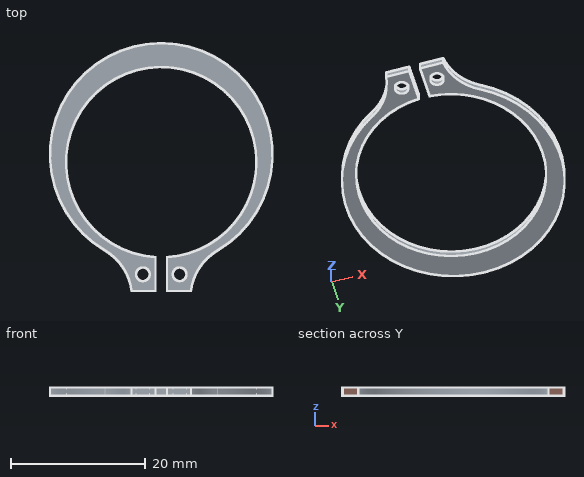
import cadquery as cq
import math

length = 36.93
thickness = 1.3
outer_radius = 33.15 / 2
bore_radius = 28.3 / 2
bore_offset = 1.15
gap = 1.65
lug_span = 8.85
flare_start_x = 8.4
hole_diameter = 2.0
hole_spacing = 5.45
hole_to_end = 2.5

lug_end_y = outer_radius - length
flare_start_y = -math.sqrt(outer_radius**2 - flare_start_x**2)


def half_ring():
    """Left half of the solid plate, with a flare tangent to the rim."""
    return (
        cq.Workplane("XY")
        .moveTo(0, outer_radius)
        .threePointArc((-outer_radius, 0), (-flare_start_x, flare_start_y))
        .tangentArcPoint((-lug_span / 2, lug_end_y), relative=False)
        .lineTo(0, lug_end_y)
        .close()
        .extrude(thickness / 2, both=True)
    )


left_half = half_ring()
plate = left_half.union(left_half.mirror("YZ")).clean()

bore_tool = cq.Workplane("XY").cylinder(thickness, bore_radius).translate((0, -bore_offset, 0))
ring = plate.cut(bore_tool)

slot_length = -bore_offset - lug_end_y
slot_center_y = -bore_offset - slot_length / 2
gap_tool = cq.Workplane("XY").box(gap, slot_length, thickness).translate((0, slot_center_y, 0))
open_ring = ring.cut(gap_tool)

hole_y = lug_end_y + hole_to_end
hole_tool = (
    cq.Workplane("XY", origin=(0, 0, -thickness / 2))
    .pushPoints([(side * hole_spacing / 2, hole_y) for side in (-1, 1)])
    .circle(hole_diameter / 2)
    .extrude(thickness)
)
result = open_ring.cut(hole_tool)